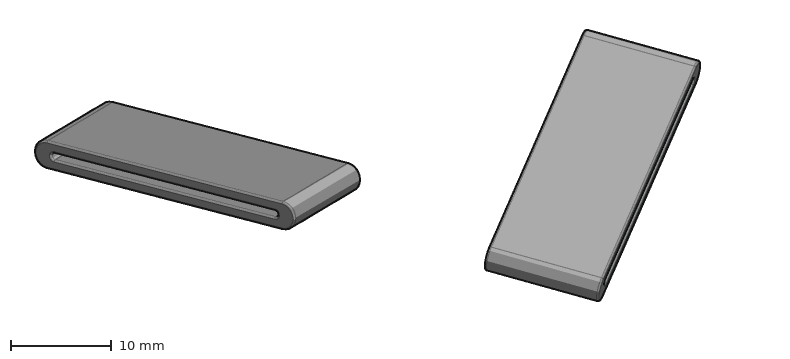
import cadquery as cq

length = 31.0
depth = 12.0
height = 3.0

slot_length = 27.0
slot_height = 0.7

edge_radius = 0.2


def rounded_bar(bar_length, bar_height):
    """Stadium section in XZ, extruded along Y and centred on the origin."""
    section = cq.Workplane("XZ").slot2D(bar_length, bar_height)
    return section.extrude(depth / 2, both=True)


body = rounded_bar(length, height)
slot = rounded_bar(slot_length, slot_height)

result = body.cut(slot).faces("<Y or >Y").edges().fillet(edge_radius)